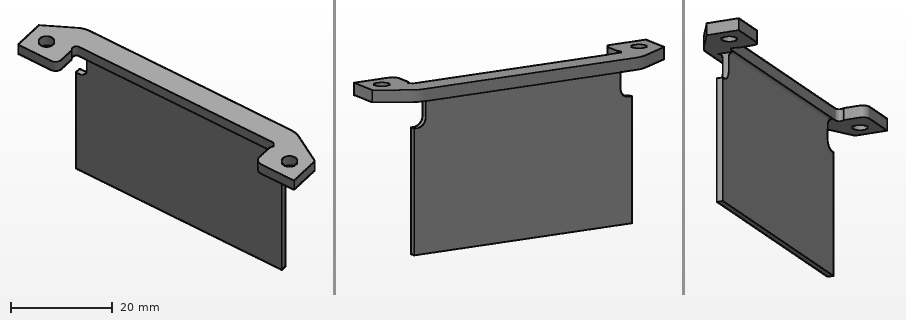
import cadquery as cq
import math

bar_length = 67.0
bar_depth = 11.5
bar_thickness = 2.5
bar_front = -bar_depth / 2
bar_back = bar_depth / 2
half_length = bar_length / 2

end_edge_depth = 7.0
slope_angle = 30.0
slope_rounding = 5.0

recess_half_length = 24.0
recess_depth = 6.5
tab_corner_radius = 1.5
relief_radius = 0.9
relief_undercut = 0.3

hole_diameter = 3.1
hole_inset = 4.0

total_height = 34.2
blade_length = 50.0
blade_thickness = 1.3
blade_back_inset = 2.6
neck_length = 44.7
notch_bottom = 8.5
notch_radius = 2.0
root_radius = 1.0


def make_bar():
    """Bar with sloped rear corners and a front recess that leaves two tabs.

    The inner corners of the recess end in round reliefs that undercut the tabs
    and run tangent into the back of the recess.
    """
    slope_start = bar_front + end_edge_depth
    slope_run = (bar_back - slope_start) / math.tan(math.radians(slope_angle))
    shoulder = half_length - slope_run
    recess_back = bar_front + recess_depth

    relief_x = recess_half_length + relief_undercut - relief_radius
    relief_y = recess_back - relief_radius
    relief_half_chord = math.sqrt(relief_radius**2 - (recess_half_length - relief_x) ** 2)
    relief_end_y = relief_y - relief_half_chord
    relief_side_x = relief_x + relief_radius

    bar = (
        cq.Workplane("XY")
        .moveTo(-half_length, bar_front)
        .lineTo(-half_length, slope_start)
        .lineTo(-shoulder, bar_back)
        .lineTo(shoulder, bar_back)
        .lineTo(half_length, slope_start)
        .lineTo(half_length, bar_front)
        .lineTo(recess_half_length, bar_front)
        .lineTo(recess_half_length, relief_end_y)
        .threePointArc((relief_side_x, relief_y), (relief_x, recess_back))
        .lineTo(-relief_x, recess_back)
        .threePointArc((-relief_side_x, relief_y), (-recess_half_length, relief_end_y))
        .lineTo(-recess_half_length, bar_front)
        .close()
        .extrude(-bar_thickness)
    )
    for side in (-1, 1):
        bar = round_upright_edge(bar, side * shoulder, bar_back, slope_rounding)
        bar = round_upright_edge(bar, side * recess_half_length, bar_front, tab_corner_radius)
    return bar


def round_upright_edge(bar, x, y, radius):
    """Fillet the vertical bar edge that stands at (x, y)."""
    nearest = cq.selectors.NearestToPointSelector((x, y, -bar_thickness / 2))
    return bar.edges("|Z").edges(nearest).fillet(radius)


def cut_screw_holes(bar):
    """One screw hole in each tab."""
    hole_x = half_length - hole_inset
    hole_y = bar_front + hole_inset
    cutter = (
        cq.Workplane("XY")
        .pushPoints([(-hole_x, hole_y), (hole_x, hole_y)])
        .circle(hole_diameter / 2)
        .extrude(-bar_thickness)
    )
    return bar.cut(cutter)


def make_blade():
    """Thin vertical sheet with a narrower neck and rounded notches at the top."""
    blade_back = bar_back - blade_back_inset
    half_blade = blade_length / 2
    half_neck = neck_length / 2
    return (
        cq.Workplane("XZ", origin=(0, blade_back, 0))
        .moveTo(-half_blade, -total_height)
        .lineTo(half_blade, -total_height)
        .lineTo(half_blade, -notch_bottom)
        .lineTo(half_neck + notch_radius, -notch_bottom)
        .radiusArc((half_neck, -notch_bottom + notch_radius), notch_radius)
        .lineTo(half_neck, -bar_thickness)
        .lineTo(-half_neck, -bar_thickness)
        .lineTo(-half_neck, -notch_bottom + notch_radius)
        .radiusArc((-half_neck - notch_radius, -notch_bottom), notch_radius)
        .lineTo(-half_blade, -notch_bottom)
        .close()
        .extrude(blade_thickness)
    )


def make_root_fillets():
    """Concave fillets along both faces of the neck where it meets the bar."""
    blade_back = bar_back - blade_back_inset
    blade_front = blade_back - blade_thickness
    root_bottom = -bar_thickness - root_radius
    return (
        cq.Workplane("YZ", origin=(-neck_length / 2, 0, 0))
        .moveTo(blade_front - root_radius, -bar_thickness)
        .radiusArc((blade_front, root_bottom), root_radius)
        .lineTo(blade_back, root_bottom)
        .radiusArc((blade_back + root_radius, -bar_thickness), root_radius)
        .close()
        .extrude(neck_length)
    )


bar_body = cut_screw_holes(make_bar())
result = bar_body.union(make_blade()).union(make_root_fillets())